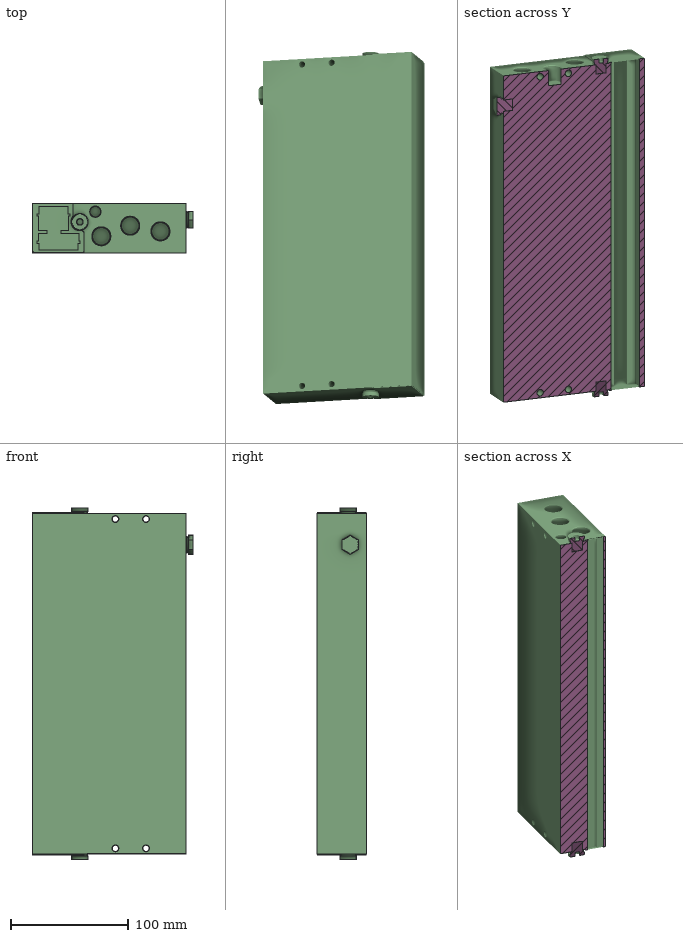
import cadquery as cq
import math

TOTAL_HEIGHT = 300.7
HOUSING_WIDTH = 131.5
HOUSING_DEPTH = 42.5

PLUG_X = 40.5
PLUG_Y = 5.5
SOCKET_HEAD_DIAMETER = 14.0
SOCKET_HEAD_HEIGHT = 3.0
SOCKET_NECK_DIAMETER = 13.0
SOCKET_NECK_HEIGHT = 1.8
SOCKET_DIAMETER = 5.0
SOCKET_RIM_CHAMFER = 0.3
SOCKET_DEPTH = 3.5

SOCKET_PLUG_RISE = SOCKET_NECK_HEIGHT + SOCKET_HEAD_HEIGHT
HALF_HEIGHT = TOTAL_HEIGHT / 2 - SOCKET_PLUG_RISE
HALF_DEPTH = HOUSING_DEPTH / 2

SHANK_DIAMETER = 9.5
SHANK_LENGTH = 8.0

HEX_PLUG_Y = 7.2
HEX_PLUG_FROM_TOP = 26.8
HEX_PLUG_Z = HALF_HEIGHT - HEX_PLUG_FROM_TOP
HEX_ACROSS_FLATS = 14.0
HEX_HEIGHT = 4.0
HEX_RING_DIAMETER = 14.0
HEX_RING_HEIGHT = 1.0
HEX_NECK_DIAMETER = 13.0
HEX_NECK_HEIGHT = 1.2

PAD_THICKNESS = 0.75
PAD_INSET = 0.3
PAD_BACK_RIGHT = 35.0
PAD_FRONT_RIGHT = 44.2
PAD_CORNER_RADIUS = 1.5
PAD_SHOULDER_RADIUS = 2.5
PLUG_CLEARANCE_DIAMETER = 15.0

CHAMBER_BACK = 18.5
CHAMBER_FRONT = -CHAMBER_BACK
CHAMBER_LEFT = 5.0
BACK_BAY_RIGHT = 31.0
BACK_BAY_FRONT = -1.8
FRONT_BAY_RIGHT = 39.7
FRONT_BAY_BACK = -4.5
PASSAGE_LEFT = 12.3
PASSAGE_RIGHT = 24.5
BAY_END_STEP = 0.5
GUIDE_WIDTH = 1.8
GUIDE_DEPTH = 1.2
BACK_GUIDE_Y = 11.0
FRONT_GUIDE_Y = -12.0

LARGE_PORTS = [(59.0, -7.0), (83.5, 2.0), (109.5, -2.7)]
LARGE_PORT_DIAMETER = 15.0
LARGE_PORT_DEPTH = 13.5
LARGE_PORT_CHAMFER = 0.5
SMALL_PORT = (53.8, 14.0)
SMALL_PORT_DIAMETER = 9.0
SMALL_PORT_DEPTH = 9.0
SMALL_PORT_CHAMFER = 0.3

MOUNTING_HOLE_DIAMETER = 5.5
MOUNTING_HOLE_XS = (71.0, 97.0)
MOUNTING_HOLE_FROM_END = 4.8
MOUNTING_HOLE_Z = HALF_HEIGHT - MOUNTING_HOLE_FROM_END


def cylinder(diameter, height, x, y, z):
    """Upright cylinder standing on the point (x, y, z)."""
    return cq.Workplane("XY", origin=(x, y, z)).circle(diameter / 2).extrude(height)


def prism(left, right, front, back):
    """Rectangular prism over the full height of the housing."""
    corner = cq.Workplane("XY", origin=(left, front, -HALF_HEIGHT))
    return corner.box(right - left, back - front, 2 * HALF_HEIGHT, centered=False)


def mirror_to_bottom(body):
    """Copy of a top-end body, mirrored to the bottom end."""
    return body.mirror("XY")


def top_pad():
    """L-like pad outline, notched round the socket plug."""
    back = HALF_DEPTH - PAD_INSET
    pad = (
        cq.Workplane("XY", origin=(0, 0, HALF_HEIGHT))
        .moveTo(PAD_INSET, -back)
        .lineTo(PAD_FRONT_RIGHT, -back)
        .lineTo(PAD_FRONT_RIGHT, PLUG_Y)
        .lineTo(PAD_BACK_RIGHT, PLUG_Y)
        .lineTo(PAD_BACK_RIGHT, back)
        .lineTo(PAD_INSET, back)
        .close()
        .extrude(PAD_THICKNESS)
    )
    pad = pad.cut(cylinder(PLUG_CLEARANCE_DIAMETER, PAD_THICKNESS, PLUG_X, PLUG_Y, HALF_HEIGHT))
    pad = pad.edges("|Z").edges("<Y").fillet(PAD_CORNER_RADIUS)
    return pad.edges("|Z").edges(">X").edges(">Y").fillet(PAD_SHOULDER_RADIUS)


def bay(right, inner_y, guide_y, end_y):
    """One chamber bay from inner_y to end_y, narrower between its guide grooves and its end."""
    main = prism(CHAMBER_LEFT, right, *sorted((inner_y, guide_y)))
    end = prism(CHAMBER_LEFT + BAY_END_STEP, right - BAY_END_STEP, *sorted((guide_y, end_y)))
    guides = prism(
        CHAMBER_LEFT - GUIDE_DEPTH,
        right + GUIDE_DEPTH,
        guide_y - GUIDE_WIDTH / 2,
        guide_y + GUIDE_WIDTH / 2,
    )
    return main.union(end).union(guides)


def chamber():
    """Closed chamber running the full height of the housing."""
    back_bay = bay(BACK_BAY_RIGHT, BACK_BAY_FRONT, BACK_GUIDE_Y, CHAMBER_BACK)
    front_bay = bay(FRONT_BAY_RIGHT, FRONT_BAY_BACK, FRONT_GUIDE_Y, CHAMBER_FRONT)
    passage = prism(PASSAGE_LEFT, PASSAGE_RIGHT, FRONT_BAY_BACK, BACK_BAY_FRONT)
    return back_bay.union(passage).union(front_bay)


def rimmed_hole(x, y, top, diameter, depth, chamfer):
    """Cutter for a blind hole with a chamfered rim, going down from the height `top`."""
    radius = diameter / 2
    profile = [
        (0, 0),
        (radius + chamfer, 0),
        (radius, -chamfer),
        (radius, -depth),
        (0, -depth),
    ]
    hole = cq.Workplane("XZ").polyline(profile).close().revolve(360, (0, 0, 0), (0, 1, 0))
    return hole.translate((x, y, top))


def mounting_holes():
    """Through holes along Y."""
    places = [(x, z) for x in MOUNTING_HOLE_XS for z in (MOUNTING_HOLE_Z, -MOUNTING_HOLE_Z)]
    return (
        cq.Workplane("XZ", origin=(0, HALF_DEPTH, 0))
        .pushPoints(places)
        .circle(MOUNTING_HOLE_DIAMETER / 2)
        .extrude(HOUSING_DEPTH)
    )


def make_socket_plug():
    """Round-headed plug in the top end, with a round socket in its head."""
    shank = cylinder(SHANK_DIAMETER, SHANK_LENGTH, PLUG_X, PLUG_Y, HALF_HEIGHT - SHANK_LENGTH)
    neck = cylinder(SOCKET_NECK_DIAMETER, SOCKET_NECK_HEIGHT, PLUG_X, PLUG_Y, HALF_HEIGHT)
    head = cylinder(
        SOCKET_HEAD_DIAMETER, SOCKET_HEAD_HEIGHT, PLUG_X, PLUG_Y, HALF_HEIGHT + SOCKET_NECK_HEIGHT
    )
    socket = rimmed_hole(
        PLUG_X, PLUG_Y, TOTAL_HEIGHT / 2, SOCKET_DIAMETER, SOCKET_DEPTH, SOCKET_RIM_CHAMFER
    )
    return shank.union(neck).union(head).cut(socket)


def make_hex_plug():
    """Hex-headed plug in the +X face, with two hex corners pointing along Z."""

    def on_face(offset):
        return cq.Workplane("YZ", origin=(HOUSING_WIDTH + offset, HEX_PLUG_Y, HEX_PLUG_Z))

    shank = on_face(-SHANK_LENGTH).circle(SHANK_DIAMETER / 2).extrude(SHANK_LENGTH)
    ring = on_face(0).circle(HEX_RING_DIAMETER / 2).extrude(HEX_RING_HEIGHT)
    neck = on_face(HEX_RING_HEIGHT).circle(HEX_NECK_DIAMETER / 2).extrude(HEX_NECK_HEIGHT)
    head = (
        on_face(HEX_RING_HEIGHT + HEX_NECK_HEIGHT)
        .transformed(rotate=(0, 0, 90))
        .polygon(6, HEX_ACROSS_FLATS / math.cos(math.pi / 6))
        .extrude(HEX_HEIGHT)
    )
    return shank.union(ring).union(neck).union(head)


def make_housing(plugs):
    """Block with its pads, chamber, ports and mounting holes, and a seat for each plug."""
    body = prism(0, HOUSING_WIDTH, -HALF_DEPTH, HALF_DEPTH)
    pad = top_pad()
    body = body.union(pad).union(mirror_to_bottom(pad))
    body = body.cut(chamber())
    for x, y in LARGE_PORTS:
        body = body.cut(
            rimmed_hole(x, y, HALF_HEIGHT, LARGE_PORT_DIAMETER, LARGE_PORT_DEPTH, LARGE_PORT_CHAMFER)
        )
    body = body.cut(
        rimmed_hole(*SMALL_PORT, HALF_HEIGHT, SMALL_PORT_DIAMETER, SMALL_PORT_DEPTH, SMALL_PORT_CHAMFER)
    )
    body = body.cut(mounting_holes())
    for plug in plugs:
        body = body.cut(plug)
    return body


top_plug = make_socket_plug()
socket_plugs = [top_plug, mirror_to_bottom(top_plug)]
hex_plug = make_hex_plug()
housing = make_housing([*socket_plugs, hex_plug])

result = cq.Compound.makeCompound(
    [housing.val(), *[plug.val() for plug in socket_plugs], hex_plug.val()]
)